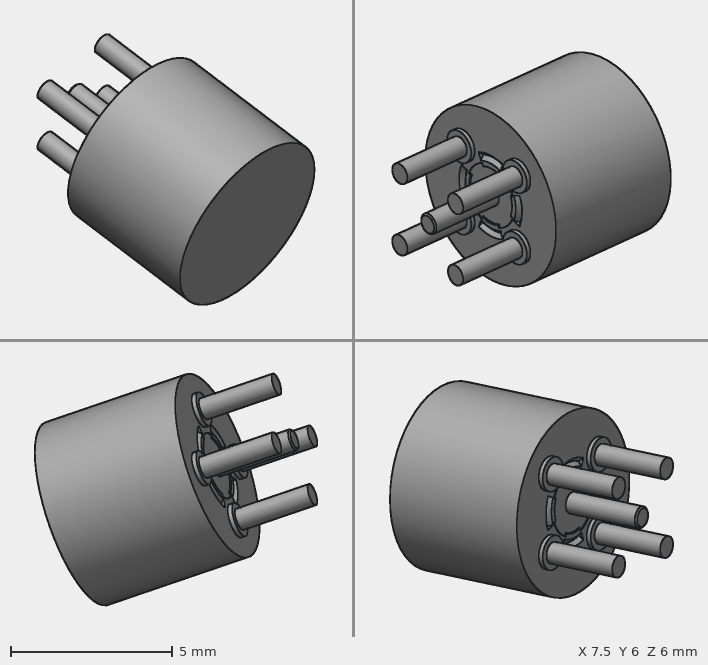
import cadquery as cq
import math

total_length = 7.5
body_diameter = 6.0
pin_length = 2.655
body_length = total_length - pin_length

pin_diameter = 0.7
pin_offset = 1.275
collar_diameter = 1.1
collar_thickness = 0.15
center_pin_chamfer = 0.05

groove_radius = 1.3
groove_half_width = 0.14
groove_depth = 0.14
groove_angle = 45.0

recess_radius = 1.07
recess_depth = 0.03
tab_inner_radius = 0.95
tab_angle = 45.0
bevel_angle = 45.0
tab_root_radius = recess_radius + 2 * recess_depth

side_angles = [0, 90, 180, 270]


def rod(diameter, length, y=0.0, z=0.0):
    """Cylinder standing on the pin face (X = 0) and pointing toward -X."""
    return cq.Workplane("YZ").center(y, z).circle(diameter / 2).extrude(-length)


def ring_sector(inner_radius, outer_radius, angle):
    """Outline in the YZ plane of a ring sector centred on +Y."""
    half_angle = math.radians(angle / 2)

    def corner(radius, side):
        return (radius * math.cos(half_angle), side * radius * math.sin(half_angle))

    return (
        cq.Workplane("YZ")
        .moveTo(*corner(inner_radius, -1))
        .lineTo(*corner(outer_radius, -1))
        .threePointArc((outer_radius, 0), corner(outer_radius, 1))
        .lineTo(*corner(inner_radius, 1))
        .threePointArc((inner_radius, 0), corner(inner_radius, -1))
        .close()
    )


def turned(shape, angle):
    """Copy of a shape turned about the part's axis."""
    return shape.rotate((0, 0, 0), (1, 0, 0), angle)


groove = (
    cq.Workplane("XY")
    .moveTo(0, groove_radius - groove_half_width)
    .lineTo(groove_depth, groove_radius)
    .lineTo(0, groove_radius + groove_half_width)
    .close()
    .revolve(groove_angle, (0, 0), (1, 0))
)
groove = turned(groove, -groove_angle / 2)

tab = (
    ring_sector(tab_inner_radius, tab_root_radius, tab_angle)
    .extrude(recess_depth, taper=bevel_angle)
    .mirror("YZ")
    .translate((recess_depth, 0, 0))
)

body = cq.Workplane("YZ").circle(body_diameter / 2).extrude(body_length)
recess = cq.Workplane("YZ").circle(recess_radius).extrude(recess_depth)
result = body.cut(recess)
for angle in side_angles:
    result = result.union(turned(tab, angle))
    result = result.cut(turned(groove, angle))

for y in (-pin_offset, pin_offset):
    for z in (-pin_offset, pin_offset):
        result = result.union(rod(collar_diameter, collar_thickness, y, z))
        result = result.union(rod(pin_diameter, pin_length, y, z))

center_pin = rod(pin_diameter, pin_length + recess_depth).translate((recess_depth, 0, 0))
center_pin = center_pin.faces("<X").chamfer(center_pin_chamfer)
result = result.union(center_pin)

result = result.translate((pin_length - total_length / 2, 0, 0))